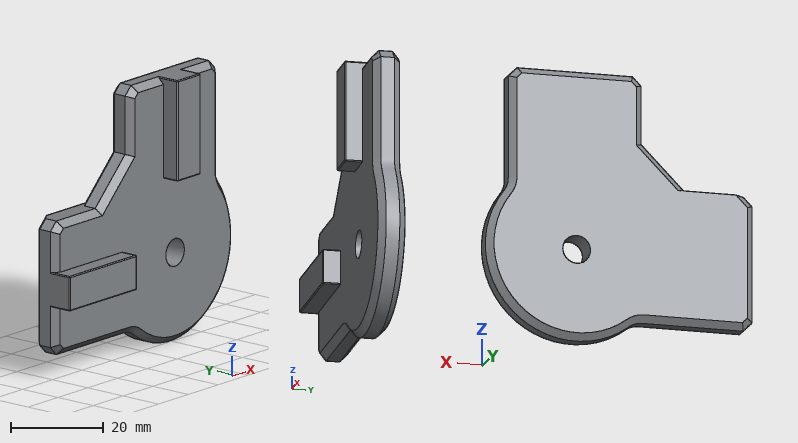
import cadquery as cq
import math

overall_size = 60.2
hub_radius = 20.15
arm_reach = overall_size - hub_radius
arm_half_width = 15.0
plate_thickness = 6.0
edge_chamfer = 1.5
corner_cut = 2.0
gusset_leg = 10.0
blend_radius = 5.0
bore_diameter = 6.2

key_width = 7.75
key_length = 22.55
key_height = 4.0
key_chamfer = 0.25


def mirrored(point):
    """Reflect an (x, z) point from the upper arm onto the side arm."""
    x, z = point
    return (-z, -x)


def make_plate():
    blend_x = arm_half_width + blend_radius
    hub_to_blend = hub_radius + blend_radius
    blend_z = math.sqrt(hub_to_blend**2 - blend_x**2)
    hub_angle = math.atan2(blend_z, blend_x)

    arm_tangent = (arm_half_width, blend_z)
    blend_middle = (
        blend_x + blend_radius * math.cos(math.pi + hub_angle / 2),
        blend_z + blend_radius * math.sin(math.pi + hub_angle / 2),
    )
    hub_tangent = (hub_radius * math.cos(hub_angle), hub_radius * math.sin(hub_angle))
    hub_middle = (hub_radius * math.sqrt(0.5), -hub_radius * math.sqrt(0.5))

    upper_arm = [
        (-arm_half_width, arm_half_width + gusset_leg),
        (-arm_half_width, arm_reach - corner_cut),
        (-arm_half_width + corner_cut, arm_reach),
        (arm_half_width - corner_cut, arm_reach),
        (arm_half_width, arm_reach - corner_cut),
        arm_tangent,
    ]
    side_arm = [mirrored(point) for point in reversed(upper_arm)]

    outline = (
        cq.Workplane("XZ")
        .polyline(upper_arm)
        .threePointArc(blend_middle, hub_tangent)
        .threePointArc(hub_middle, mirrored(hub_tangent))
        .threePointArc(mirrored(blend_middle), side_arm[0])
    )
    for point in side_arm[1:]:
        outline = outline.lineTo(*point)
    plate = outline.close().extrude(plate_thickness)

    sharp_edge_x = (side_arm[-2][0] + side_arm[-1][0]) / 2
    sharp_edge_point = (sharp_edge_x, 0, arm_half_width)
    sharp_edge = plate.edges(cq.selectors.NearestToPointSelector(sharp_edge_point)).val()
    rim_edges = plate.faces("<Y or >Y").edges()
    return rim_edges.filter(lambda edge: not edge.isSame(sharp_edge)).chamfer(edge_chamfer)


def make_upper_key():
    root_depth = plate_thickness / 2
    return (
        cq.Workplane("XY")
        .box(key_width, key_height + root_depth, key_length, centered=(True, False, False))
        .translate((0, -plate_thickness - key_height, arm_reach - key_length))
        .edges("<Y or |Y")
        .chamfer(key_chamfer)
    )


upper_key = make_upper_key()
side_key = upper_key.rotate((0, 0, 0), (0, 1, 0), -90)
bore = cq.Workplane("XZ").circle(bore_diameter / 2).extrude(plate_thickness)

result = make_plate().union(upper_key).union(side_key).cut(bore)